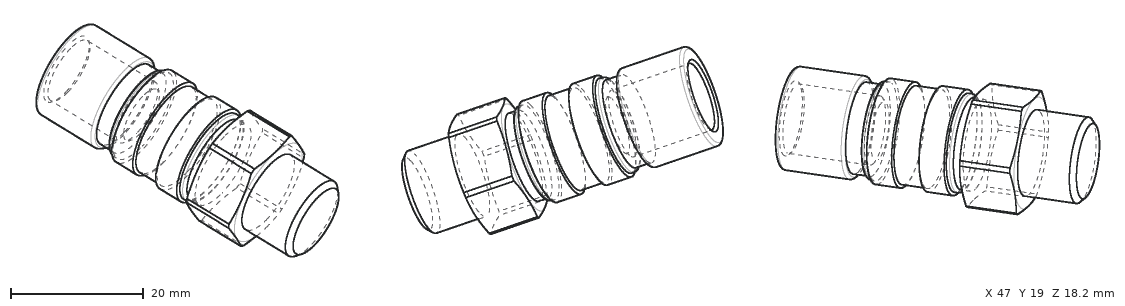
import cadquery as cq
import math

TOTAL_LENGTH = 47.0
SLEEVE_END = 10.95
COLLAR_START = 13.5
COLLAR_END = 27.95
HEX_START = 29.45
HEX_END = 37.95

SLEEVE_DIAMETER = 15.8
NECK_DIAMETER = 14.0
RING_DIAMETER = 15.1
BAND_DIAMETER = 16.15
SPIGOT_DIAMETER = 13.15
SPIGOT_TIP_DIAMETER = 11.45

SLEEVE_FILLET = 0.45
RING_FILLET = 0.45
RING_LENGTH = 0.95
BAND_LENGTH = 4.3
BAND_TAPER = 0.2

HEX_ACROSS_FLATS = 17.0
HEX_CORNER_DIAMETER = 19.15
HEX_TURN = 9.2
HEX_CHAMFER_ANGLE = 15.0

BORE_MOUTH_DIAMETER = 11.45
BORE_DIAMETER = 10.55
BORE_FLOOR_DIAMETER = 8.98
BORE_DEPTH = 14.1


def cylinder(start, end, diameter):
    """Solid cylinder on the X axis between two positions."""
    return cq.Workplane("YZ", origin=(start, 0, 0)).circle(diameter / 2).extrude(end - start)


def revolve_profile(points):
    """Solid of revolution about X from (position, radius) points."""
    return cq.Workplane("XY").polyline(points).close().revolve(360, (0, 0, 0), (1, 0, 0))


def make_sleeve():
    return cylinder(0, SLEEVE_END, SLEEVE_DIAMETER).faces("<X or >X").edges().fillet(SLEEVE_FILLET)


def make_band(start):
    """Raised band whose ends taper down to the ring diameter."""
    end = start + BAND_LENGTH
    return revolve_profile([
        (start, 0),
        (start, RING_DIAMETER / 2),
        (start + BAND_TAPER, BAND_DIAMETER / 2),
        (end - BAND_TAPER, BAND_DIAMETER / 2),
        (end, RING_DIAMETER / 2),
        (end, 0),
    ])


def make_collar():
    """Ring with rounded ends carrying two raised bands."""
    ring = cylinder(COLLAR_START, COLLAR_END, RING_DIAMETER)
    collar = ring.faces("<X or >X").edges().fillet(RING_FILLET)
    for start in (COLLAR_START + RING_LENGTH, COLLAR_END - RING_LENGTH - BAND_LENGTH):
        collar = collar.union(make_band(start))
    return collar


def make_hexagon():
    """Hexagon with turned corners and chamfered ends."""
    full_corner_diameter = HEX_ACROSS_FLATS / math.cos(math.radians(30))
    prism = (
        cq.Workplane("YZ", origin=(HEX_START, 0, 0))
        .polygon(6, full_corner_diameter)
        .extrude(HEX_END - HEX_START)
        .rotate((0, 0, 0), (1, 0, 0), -HEX_TURN)
    )
    face_radius = HEX_ACROSS_FLATS / 2
    corner_radius = HEX_CORNER_DIAMETER / 2
    chamfer_length = (corner_radius - face_radius) * math.tan(math.radians(HEX_CHAMFER_ANGLE))
    turned_limit = revolve_profile([
        (HEX_START, 0),
        (HEX_START, face_radius),
        (HEX_START + chamfer_length, corner_radius),
        (HEX_END - chamfer_length, corner_radius),
        (HEX_END, face_radius),
        (HEX_END, 0),
    ])
    return prism.intersect(turned_limit)


def make_spigot():
    tip_chamfer = (SPIGOT_DIAMETER - SPIGOT_TIP_DIAMETER) / 2
    return cylinder(HEX_END, TOTAL_LENGTH, SPIGOT_DIAMETER).faces(">X").edges().chamfer(tip_chamfer)


def make_bore():
    """Blind bore with 45 degree tapers at its mouth and its floor."""
    mouth_taper = (BORE_MOUTH_DIAMETER - BORE_DIAMETER) / 2
    floor_taper = (BORE_DIAMETER - BORE_FLOOR_DIAMETER) / 2
    return revolve_profile([
        (0, 0),
        (0, BORE_MOUTH_DIAMETER / 2),
        (mouth_taper, BORE_DIAMETER / 2),
        (BORE_DEPTH - floor_taper, BORE_DIAMETER / 2),
        (BORE_DEPTH, BORE_FLOOR_DIAMETER / 2),
        (BORE_DEPTH, 0),
    ])


neck = cylinder(SLEEVE_END, HEX_START, NECK_DIAMETER)
body = neck.union(make_sleeve()).union(make_collar()).union(make_hexagon()).union(make_spigot())
result = body.cut(make_bore())